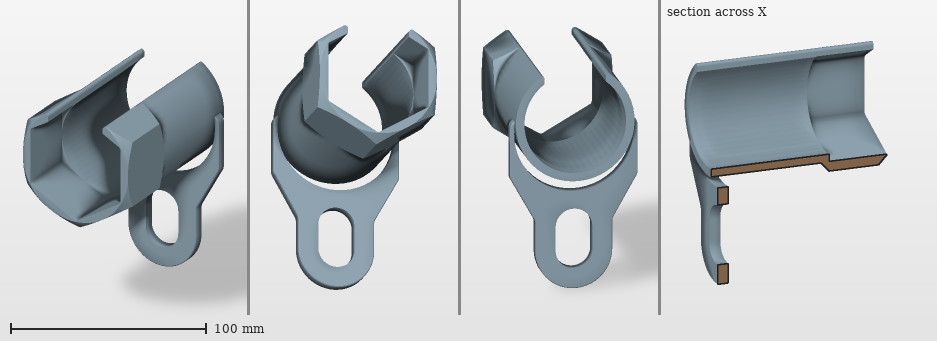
import cadquery as cq
import math

length = 100.0
outer_radius = 30.8
bore_radius = 26.4
hex_length = 37.6
hex_bore_depth = 32.7
hex_bore_corner_fillet = 1.8
opening_width = 31.9
lip_radius = 1.6

edge_x = opening_width / 2
flat_normal_x = math.cos(math.radians(60))
flat_normal_z = math.sin(math.radians(60))
lip_center_x = edge_x + lip_radius
lip_center_z = (outer_radius - lip_radius - lip_center_x * flat_normal_x) / flat_normal_z

overall_height = 113.2

lug_width = 66.0
lug_thickness = 6.2
lug_rear_gap = 3.7
lug_top = 1.6
lug_top_fillet = 4.5
lug_taper_start = -29.0
lug_taper_end = -52.1
lug_bend_fillet = 4.5
lug_tail_radius = 19.9
lug_tail_center = lip_center_z + lip_radius - overall_height + lug_tail_radius
lug_edge_chamfer = 0.5
cradle_radius = 31.0
cradle_center = -5.8
slot_width = 19.0
slot_top = -46.1
slot_bottom = -77.4

corner_ratio = 1 / math.cos(math.radians(30))


def front_plane(y):
    """Plane across the bore axis whose normal points to the front (-Y)."""
    return cq.Workplane(cq.Plane(origin=(0, y, 0), xDir=(1, 0, 0), normal=(0, -1, 0)))


def cylinder(radius, start, depth):
    return front_plane(start).circle(radius).extrude(-depth)


def hex_prism(inscribed_radius, depth):
    """Hexagonal prism from the front face, with corners at top and bottom."""
    corner_diameter = 2 * inscribed_radius * corner_ratio
    prism = front_plane(0).polygon(6, corner_diameter).extrude(-depth)
    return prism.rotate((0, 0, 0), (0, 1, 0), 30)


def hex_head():
    """Hexagon whose corners are cut back at 45 degrees at both ends."""
    corner_radius = outer_radius * corner_ratio
    chamfer = corner_radius - outer_radius
    envelope = cylinder(corner_radius, 0, hex_length).edges().chamfer(chamfer)
    return hex_prism(outer_radius, hex_length).intersect(envelope)


def opening():
    """Lengthwise opening at the top, shaped to leave rounded lips on both sides."""
    flat_end_z = outer_radius * flat_normal_z / flat_normal_x
    outline = (
        front_plane(0)
        .moveTo(0, 0)
        .lineTo(edge_x, 0)
        .lineTo(edge_x, lip_center_z)
        .threePointArc(
            (lip_center_x - lip_radius * flat_normal_x, lip_center_z + lip_radius * flat_normal_z),
            (lip_center_x + lip_radius * flat_normal_x, lip_center_z + lip_radius * flat_normal_z),
        )
        .lineTo(outer_radius, flat_end_z)
        .lineTo(0, flat_end_z)
        .close()
    )
    half = outline.extrude(-length)
    return half.union(half.mirror("YZ"))


def socket():
    hex_bore = hex_prism(bore_radius, hex_bore_depth).edges("|Y").fillet(hex_bore_corner_fillet)
    round_bore = cylinder(bore_radius, hex_bore_depth, length - hex_bore_depth)
    barrel = cylinder(outer_radius, hex_length, length - hex_length)
    body = hex_head().union(barrel)
    return body.cut(hex_bore).cut(round_bore).cut(opening())


def lug():
    half_width = lug_width / 2
    rear = length - lug_rear_gap
    plate = (
        front_plane(rear - lug_thickness)
        .moveTo(-half_width, lug_top)
        .lineTo(-half_width, lug_taper_start)
        .lineTo(-lug_tail_radius, lug_taper_end)
        .lineTo(-lug_tail_radius, lug_tail_center)
        .threePointArc((0, lug_tail_center - lug_tail_radius), (lug_tail_radius, lug_tail_center))
        .lineTo(lug_tail_radius, lug_taper_end)
        .lineTo(half_width, lug_taper_start)
        .lineTo(half_width, lug_top)
        .close()
        .extrude(-lug_thickness)
    )
    margin = 1.1
    bend_zone = cq.selectors.BoxSelector(
        (-lug_width, 0, lug_taper_end - margin),
        (lug_width, length, lug_taper_start + margin),
    )
    plate = plate.edges("|Y").edges(bend_zone).fillet(lug_bend_fillet)
    plate = plate.edges("|Y and >Z").fillet(lug_top_fillet)
    plate = plate.faces("<Y or >Y").edges().chamfer(lug_edge_chamfer)

    slot = (
        front_plane(0)
        .center(0, (slot_top + slot_bottom) / 2)
        .slot2D(slot_top - slot_bottom, slot_width, 90)
        .extrude(-length)
    )
    cradle = cylinder(cradle_radius, 0, length).translate((0, 0, cradle_center))
    return plate.cut(slot).cut(cradle)


result = socket().union(lug())